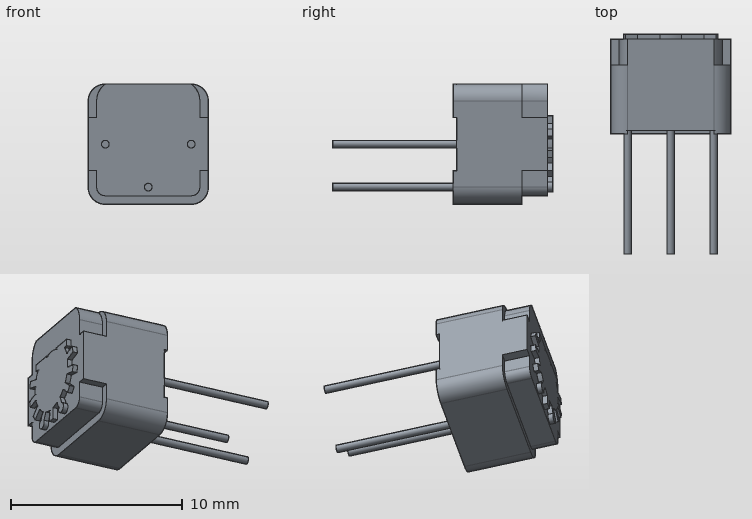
import cadquery as cq
import math


total_length = 12.8

side = 7.0
half_side = side / 2
housing_depth = 5.5
corner_radius = 1.0
inset = 0.5
recess_depth = 0.2
step_depth = 1.5
band_height = 3.08

pin_diameter = 0.45
pin_length = 7.0
pin_pitch = 2.5
pin_places = [(-pin_pitch, 0), (pin_pitch, 0), (0, -pin_pitch)]

knob_thickness = total_length - housing_depth - pin_length
hub_radius = 1.66
dial_radius = 2.06
tick_reach = 2.76
tick_width = 0.42
tick_spacing = 26
tick_steps = range(-4, 5)
dot_steps = (-1, 1)
dot_radius = 0.31
foot_inner = 0.61
foot_outer = 1.93
foot_top = 1.64
foot_bottom = 1.22


def plane_at(y):
    """Plane across Y whose local coordinates are X and Z."""
    return cq.Workplane("XZ", origin=(0, y, 0))


def square_block(y_start, y_end):
    """Square block with four rounded corners."""
    block = plane_at(y_start).rect(side, side).extrude(y_start - y_end)
    return block.edges("|Y").fillet(corner_radius)


def core_block(y_start, y_end):
    """Narrow core, flush with the square at the top and crossed by a full-width band."""
    core_half = half_side - inset
    flat_half = core_half - inset
    shoulder = half_side - corner_radius

    arc_radius = (inset**2 + corner_radius**2) / (2 * inset)
    half_sweep = math.asin(corner_radius / arc_radius) / 2
    arc_mid_x = core_half - arc_radius * (1 - math.cos(half_sweep))
    arc_mid_z = shoulder + arc_radius * math.sin(half_sweep)

    core = (
        plane_at(y_start)
        .moveTo(-flat_half, -core_half)
        .lineTo(flat_half, -core_half)
        .radiusArc((core_half, -flat_half), -inset)
        .lineTo(core_half, shoulder)
        .threePointArc((arc_mid_x, arc_mid_z), (flat_half, half_side))
        .lineTo(-flat_half, half_side)
        .threePointArc((-arc_mid_x, arc_mid_z), (-core_half, shoulder))
        .lineTo(-core_half, -flat_half)
        .radiusArc((-flat_half, -core_half), -inset)
        .close()
        .extrude(y_start - y_end)
    )
    band = plane_at(y_start).rect(side, band_height).extrude(y_start - y_end)
    return core.union(band)


def make_housing():
    """Square front with a shallow recess among its rims, and the narrower core behind it."""
    step_y = housing_depth - step_depth
    front = square_block(0, step_y).cut(core_block(0, recess_depth))
    back = core_block(step_y, housing_depth)
    return front.union(back)


def make_pin(x, z):
    """Round pin that stands on the floor of the recess."""
    pin = plane_at(recess_depth).center(x, z).circle(pin_diameter / 2)
    return pin.extrude(recess_depth + pin_length)


def knob_plate(sketch):
    """Give an outline drawn on the housing's back face the thickness of the knob."""
    return sketch.extrude(-knob_thickness)


def make_dial():
    """Round dial cut level below the feet, with the smaller round hub rising between them."""
    face = plane_at(housing_depth)
    dial = knob_plate(face.circle(dial_radius))
    above_feet = knob_plate(
        face.center(0, foot_bottom + dial_radius / 2).rect(2 * dial_radius, dial_radius)
    )
    hub = knob_plate(face.circle(hub_radius))
    return dial.cut(above_feet).union(hub)


def make_foot(direction):
    """Bar beside the top of the hub; direction is -1 or 1 along X."""
    middle_x = direction * (foot_inner + foot_outer) / 2
    middle_z = (foot_top + foot_bottom) / 2
    face = plane_at(housing_depth).center(middle_x, middle_z)
    return knob_plate(face.rect(foot_outer - foot_inner, foot_top - foot_bottom))


def make_tick(step):
    """Radial bar from the knob centre, turned by whole steps away from straight down."""
    face = plane_at(housing_depth).center(0, -tick_reach / 2)
    tick = knob_plate(face.rect(tick_width, tick_reach))
    if step in dot_steps:
        dot = knob_plate(plane_at(housing_depth).center(0, -tick_reach).circle(dot_radius))
        tick = tick.union(dot)
    return tick.rotate((0, 0, 0), (0, 1, 0), step * tick_spacing)


def make_knob():
    """Flat knob: dial, two feet and a fan of ticks."""
    knob = make_dial()
    for direction in (-1, 1):
        knob = knob.union(make_foot(direction))
    for step in tick_steps:
        knob = knob.union(make_tick(step))
    return knob


housing = make_housing()
pins = [make_pin(x, z) for x, z in pin_places]
knob = make_knob()

result = cq.Compound.makeCompound([housing.val(), *[pin.val() for pin in pins], knob.val()])